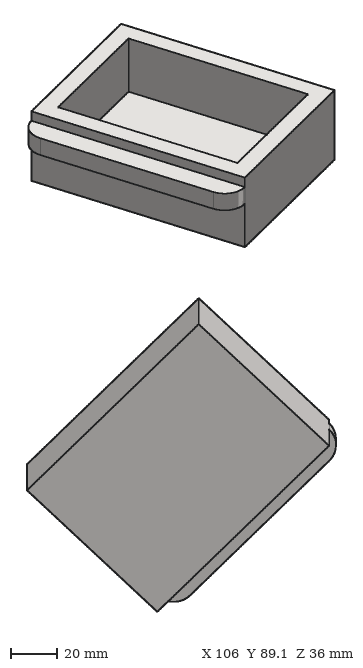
import cadquery as cq

length = 106.0
body_depth = 79.0
height = 36.0
wall = 8.5

ledge_reach = 10.1
ledge_height = 8.7
ledge_drop = 4.9
corner_radius = ledge_reach


def tray():
    """Open-topped box with its front face at Y = 0 and its base at Z = 0."""
    body = cq.Workplane("XY").box(length, body_depth, height, centered=(True, False, False))
    pocket = (
        cq.Workplane("XY")
        .box(length - 2 * wall, body_depth - 2 * wall, height - wall, centered=(True, False, False))
        .translate((0, wall, wall))
    )
    return body.cut(pocket)


def ledge():
    """Full-width ledge whose two front corners are quarter rounds."""
    half_length = length / 2
    straight_half = half_length - corner_radius
    bottom = height - ledge_drop - ledge_height
    return (
        cq.Workplane("XY", origin=(0, 0, bottom))
        .moveTo(half_length, 0)
        .radiusArc((straight_half, -ledge_reach), corner_radius)
        .lineTo(-straight_half, -ledge_reach)
        .radiusArc((-half_length, 0), corner_radius)
        .close()
        .extrude(ledge_height)
    )


result = tray().union(ledge())